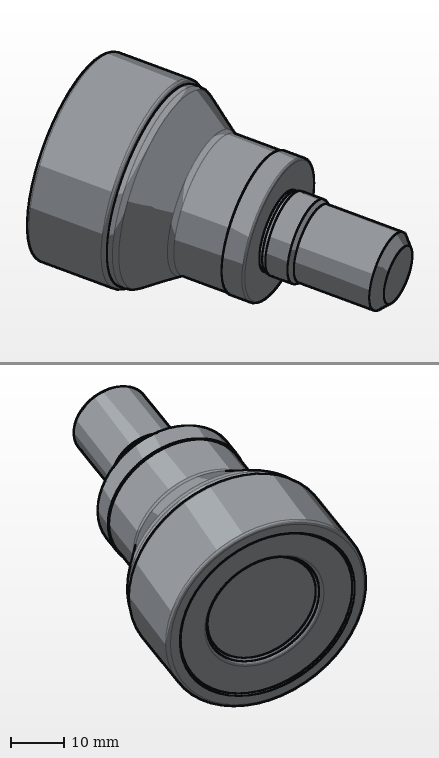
import cadquery as cq
import math

total_length = 67.95

cap_radius = 21.0
cap_length = 16.8
cap_front_round = 0.7
cap_back_round = 0.8
lip_radius = 18.35
lip_bevel = 0.35
dish_inner_radius = 12.5
dish_depth = 1.2
throat_radius = 11.8
throat_round = dish_inner_radius - throat_radius
bore_radius = 11.35
bore_bevel = throat_radius - bore_radius
bore_start_x = dish_depth + throat_round + bore_bevel

plug_face_x = bore_start_x
head_radius = 40.5 / 2
taper_start_x = 18.6
taper_end_x = 27.25
taper_blend = 2.05
barrel_radius = 28.6 / 2
collar_radius = 29.0 / 2
collar_start_x = 38.0
collar_end_x = 42.8
collar_front_bevel = 0.15
collar_back_round = 0.4
neck_radius = 8.2
neck_end_x = 43.4
seat_radius = 17.0 / 2
seat_start_x = 44.25
seat_end_x = 48.9
stem_radius = 15.75 / 2
stem_start_x = 49.95
tip_chamfer = 2.05


def turn(outline):
    """Revolve a closed outline, drawn as X against radius, about the X axis."""
    return outline.close().revolve(360, (0, 0, 0), (1, 0, 0))


def round_edge(body, x, radius, size):
    """Fillet the circular edge of the given radius that lies in the plane at x."""
    margin = 0.01
    reach = radius + margin
    at_plane = cq.selectors.BoxSelector(
        (x - margin, -reach, -reach), (x + margin, reach, reach), boundingbox=True
    )
    rims = [edge for edge in body.edges(at_plane).edges("%CIRCLE").vals() if abs(edge.radius() - radius) < margin]
    return body.newObject(rims).fillet(size)


def make_cap():
    """Ring with a shallow conical dish in its front face and a plain through bore."""
    diagonal = 1 - math.sqrt(0.5)
    outline = (
        cq.Workplane("XY")
        .moveTo(0, lip_radius)
        .lineTo(0, cap_radius)
        .lineTo(cap_length, cap_radius)
        .lineTo(cap_length, bore_radius)
        .lineTo(bore_start_x, bore_radius)
        .lineTo(dish_depth + throat_round, throat_radius)
        .threePointArc(
            (dish_depth + throat_round * diagonal, throat_radius + throat_round * diagonal),
            (dish_depth, dish_inner_radius),
        )
        .lineTo(lip_bevel, lip_radius - lip_bevel)
    )
    cap = turn(outline)
    cap = round_edge(cap, 0, cap_radius, cap_front_round)
    return round_edge(cap, cap_length, cap_radius, cap_back_round)


def make_holder():
    """Plug, head, taper, barrel, collar and stem turned as one piece."""
    outline = (
        cq.Workplane("XY")
        .moveTo(plug_face_x, 0)
        .lineTo(plug_face_x, bore_radius)
        .lineTo(cap_length, bore_radius)
        .lineTo(cap_length, head_radius)
        .lineTo(taper_start_x, head_radius)
        .lineTo(taper_end_x, barrel_radius)
        .lineTo(collar_start_x, barrel_radius)
        .lineTo(collar_start_x + collar_front_bevel, collar_radius)
        .lineTo(collar_end_x, collar_radius)
        .lineTo(collar_end_x, neck_radius)
        .lineTo(neck_end_x, neck_radius)
        .lineTo(seat_start_x, seat_radius)
        .lineTo(seat_end_x, seat_radius)
        .lineTo(stem_start_x, stem_radius)
        .lineTo(total_length - tip_chamfer, stem_radius)
        .lineTo(total_length, stem_radius - tip_chamfer)
        .lineTo(total_length, 0)
    )
    holder = turn(outline)
    holder = round_edge(holder, taper_start_x, head_radius, taper_blend)
    holder = round_edge(holder, taper_end_x, barrel_radius, taper_blend)
    return round_edge(holder, collar_end_x, collar_radius, collar_back_round)


cap = make_cap()
holder = make_holder()

result = cq.Compound.makeCompound([cap.val(), holder.val()])